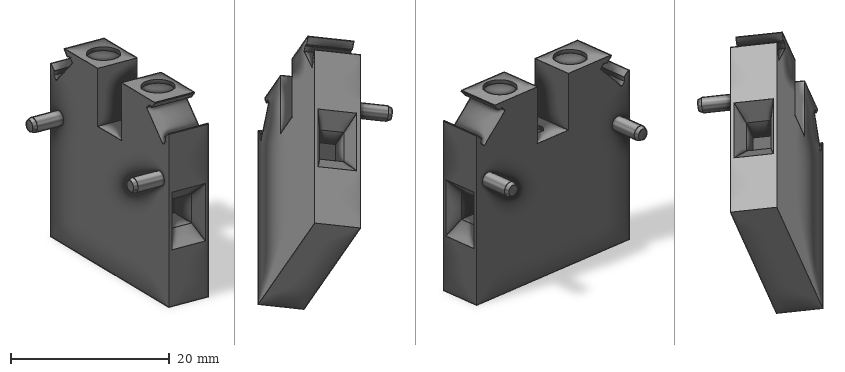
import cadquery as cq

side = 27
thickness = 6.0
middle = side / 2
bore_y = 3.2

notch_width = 5.45
notch_depth = 7.96
notch_floor_z = side - notch_depth

half_groove = [
    (3.25, 0),
    (3.15, 0.1),
    (3.9, 0.92),
    (4.0, 0.8),
    (4.54, 0.8),
    (5.05, 1.35),
]

screw_bore_diameter = 4.3
screw_bore_offset = 6.2
screw_bore_depth = 0.5
center_bore_diameter = 2.1
center_bore_depth = 0.5

pin_diameter = 2.0
pin_length = 4.5
pin_inset = 2.02
pin_drop = 10.0
pin_tip_length = 0.55
pin_tip_reduction = 0.25

window_z = 11.75
window_mouth_y = 3.02
window_mouth_width = 5.05
window_mouth_height = 7.9
window_throat_width = 3.15
window_throat_height = 4.02
window_taper_depth = 2.0
window_pocket_depth = 4.0


def make_body():
    other_half = [(drop, inset) for inset, drop in reversed(half_groove)]
    groove = half_groove + other_half
    right_edge = [(side - inset, side - drop) for inset, drop in groove]
    left_edge = [(inset, side - drop) for inset, drop in reversed(groove)]
    notch_left = middle - notch_width / 2
    notch_right = middle + notch_width / 2
    notch = [
        (notch_left, side),
        (notch_left, notch_floor_z),
        (notch_right, notch_floor_z),
        (notch_right, side),
    ]
    outline = [(0, 0)] + left_edge + notch + right_edge + [(side, 0)]
    return cq.Workplane("XZ").polyline(outline).close().extrude(-thickness)


def make_bore(x, top_z, diameter, depth):
    return (
        cq.Workplane("XY", origin=(x, bore_y, top_z))
        .circle(diameter / 2)
        .extrude(-depth)
    )


def make_pin(x):
    tip_start = pin_length - pin_tip_length
    radius = pin_diameter / 2
    profile = [
        (0, 0),
        (radius, 0),
        (radius, -tip_start),
        (radius - pin_tip_reduction, -pin_length),
        (0, -pin_length),
    ]
    pin = cq.Workplane("XY").polyline(profile).close().revolve(360, (0, 0), (0, 1))
    return pin.translate((x, 0, side - pin_drop))


def make_left_window():
    throat_shift = bore_y - window_mouth_y
    taper = (
        cq.Workplane("YZ", origin=(0, window_mouth_y, window_z))
        .rect(window_mouth_width, window_mouth_height)
        .workplane(offset=window_taper_depth)
        .center(throat_shift, 0)
        .rect(window_throat_width, window_throat_height)
        .loft(ruled=True)
    )
    recess = (
        cq.Workplane("YZ", origin=(window_taper_depth, bore_y, window_z))
        .rect(window_throat_width, window_throat_height)
        .extrude(window_pocket_depth)
    )
    return taper.union(recess)


result = make_body()

for x in (middle - screw_bore_offset, middle + screw_bore_offset):
    result = result.cut(make_bore(x, side, screw_bore_diameter, screw_bore_depth))
result = result.cut(make_bore(middle, notch_floor_z, center_bore_diameter, center_bore_depth))

left_window = make_left_window()
right_window = left_window.mirror("YZ", (middle, 0, 0))
result = result.cut(left_window).cut(right_window)

for x in (pin_inset, side - pin_inset):
    result = result.union(make_pin(x))